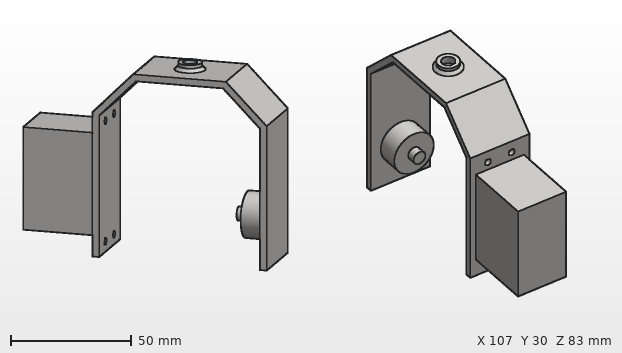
import cadquery as cq
import math

overall_length = 107.0
bracket_span = 76.0
bracket_width = 30.0
bracket_height = 80.0
thickness = 3.0
shoulder = 17.8

servo_length = overall_length - bracket_span
servo_width = 24.3
servo_height = 44.3
servo_center_z = 30.5
screw_diameter = 3.0
screw_spacing_y = 12.0
screw_spacing_z = 52.0

hub_diameter = 20.0
hub_length = 10.0
pin_diameter = 6.0
pin_length = 4.0
hub_center_z = 19.5

boss_diameter = 10.1
boss_height = 3.0
flare = 1.5
bore_diameter = 3.0
counterbore_diameter = 6.0
counterbore_depth = 3.3

half_span = bracket_span / 2
inner_face_x = half_span - thickness


def strap_outline(half_width, height, corner):
    """Outline of a block with equal 45 degree cuts on its two top corners."""
    return (
        cq.Workplane("XZ")
        .moveTo(-half_width, 0)
        .lineTo(-half_width, height - corner)
        .lineTo(-half_width + corner, height)
        .lineTo(half_width - corner, height)
        .lineTo(half_width, height - corner)
        .lineTo(half_width, 0)
        .close()
    )


def make_bracket():
    inner_shoulder = shoulder - (2 - math.sqrt(2)) * thickness
    outer = strap_outline(half_span, bracket_height, shoulder)
    inner = strap_outline(inner_face_x, bracket_height - thickness, inner_shoulder)
    return outer.extrude(bracket_width / 2, both=True).cut(inner.extrude(bracket_width / 2, both=True))


def make_servo():
    return cq.Workplane("XY").box(servo_length, servo_width, servo_height).translate(
        (-half_span - servo_length / 2, 0, servo_center_z)
    )


def make_screw_holes():
    return (
        cq.Workplane("YZ", origin=(-half_span, 0, servo_center_z))
        .rarray(screw_spacing_y, screw_spacing_z, 2, 2)
        .circle(screw_diameter / 2)
        .extrude(thickness)
    )


def make_hub():
    base = cq.Workplane("YZ", origin=(inner_face_x, 0, hub_center_z))
    hub = base.circle(hub_diameter / 2).extrude(-hub_length)
    pin = base.circle(pin_diameter / 2).extrude(-hub_length - pin_length)
    return hub.union(pin)


def make_boss():
    radius = boss_diameter / 2
    return (
        cq.Workplane("XZ")
        .moveTo(0, bracket_height)
        .lineTo(radius + flare, bracket_height)
        .lineTo(radius, bracket_height + flare)
        .lineTo(radius, bracket_height + boss_height)
        .lineTo(0, bracket_height + boss_height)
        .close()
        .revolve(360, (0, 0, 0), (0, 1, 0))
    )


def make_boss_hole():
    top = cq.Workplane("XY", origin=(0, 0, bracket_height + boss_height))
    bore = top.circle(bore_diameter / 2).extrude(-boss_height - thickness)
    counterbore = top.circle(counterbore_diameter / 2).extrude(-counterbore_depth)
    return bore.union(counterbore)


result = (
    make_bracket()
    .union(make_servo())
    .union(make_hub())
    .union(make_boss())
    .cut(make_screw_holes())
    .cut(make_boss_hole())
)